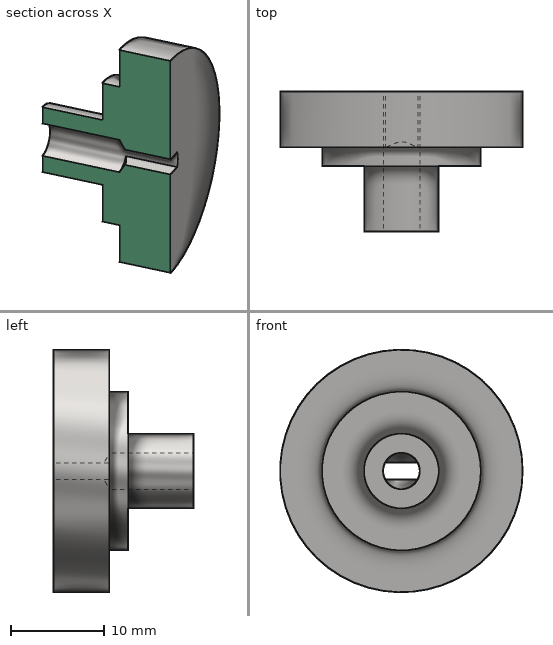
import cadquery as cq
import math

rim_diameter = 26.0
rim_width = 6.0
collar_diameter = 17.0
collar_width = 2.0
hub_diameter = 8.0
hub_length = 7.0
total_length = rim_width + collar_width + hub_length

bore_diameter = 3.9
bore_depth = hub_length + collar_width
cone_angle = 118.0
flat_spacing = 1.8


def disc(diameter, length, front_y):
    """Cylinder along Y that starts at front_y and extends toward +Y."""
    plane = cq.Workplane("XZ", origin=(0, front_y, 0))
    return plane.circle(diameter / 2).extrude(-length)


def stepped_body():
    """Rim, collar and hub stacked along Y."""
    rim = disc(rim_diameter, rim_width, -rim_width)
    collar = disc(collar_diameter, collar_width, -rim_width - collar_width)
    hub = disc(hub_diameter, hub_length, -total_length)
    return rim.union(collar).union(hub)


def conical_bore():
    """Blind round bore with a pointed bottom, turned about the Y axis."""
    radius = bore_diameter / 2
    shoulder_y = -total_length + bore_depth
    tip_y = shoulder_y + radius / math.tan(math.radians(cone_angle / 2))
    profile = (
        cq.Workplane("XY")
        .moveTo(0, -total_length)
        .lineTo(radius, -total_length)
        .lineTo(radius, shoulder_y)
        .lineTo(0, tip_y)
        .close()
    )
    return profile.revolve(360, (0, 0, 0), (0, 1, 0))


def double_flat_opening():
    """Through opening as wide as the bore, with a flat above and below."""
    round_opening = disc(bore_diameter, total_length, -total_length)
    flat_band = cq.Workplane("XY").box(bore_diameter, 2 * total_length, flat_spacing)
    return round_opening.intersect(flat_band)


result = stepped_body().cut(conical_bore()).cut(double_flat_opening())